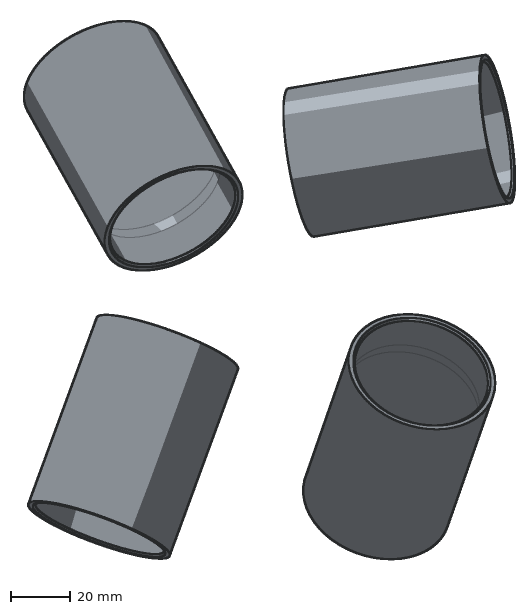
import cadquery as cq

length = 68.0
outer_diameter = 50.8
land_wall = 2.4
relief_wall = 1.6
mouth_wall = 1.6
mouth_chamfer_length = 0.75
land_end = 13.25
taper_length = 4.5

outer_radius = outer_diameter / 2
land_radius = outer_radius - land_wall
relief_radius = outer_radius - relief_wall
mouth_radius = outer_radius - mouth_wall
half_length = length / 2

bore_steps = [
    (0, mouth_radius),
    (mouth_chamfer_length, land_radius),
    (land_end, land_radius),
    (land_end + taper_length, relief_radius),
]
left_bore = [(depth - half_length, radius) for depth, radius in bore_steps]
right_bore = [(-x, radius) for x, radius in reversed(left_bore)]

wall_section = [
    (half_length, outer_radius),
    (-half_length, outer_radius),
    *left_bore,
    *right_bore,
]
result = cq.Workplane("XY").polyline(wall_section).close().revolve(360, (0, 0, 0), (1, 0, 0))